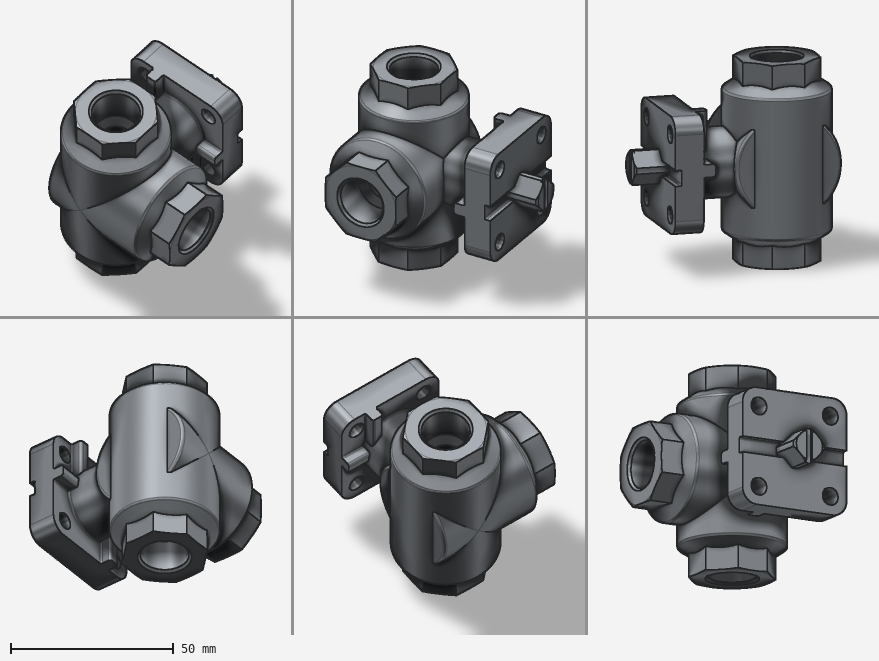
import cadquery as cq
import math


body_radius = 34.0 / 2
run_half_length = 32.25
branch_length = 32.5
branch_back = 13.0
edge_radius = 0.95
octagon_flats = 25.0
shoulder_height = 3.0
shoulder_top = 25.3
shoulder_base = shoulder_top - shoulder_height
octagon_chamfer = 0.25
bore_diameter = 10.0
port_diameter = 14.95
port_mouth_diameter = 16.65
port_depth = 11.6
port_cone_depth = 1.95

neck_radius = 22.0 / 2
neck_root_radius = 0.7

flange_width = 37.0
flange_thickness = 9.15
flange_top = 38.0
flange_bottom = flange_top - flange_thickness
flange_corner_radius = 4.95
hole_diameter = 5.5
hole_spacing = 25.4
slot_width = 5.0
slot_depth = 2.0
slot_corner_radius = 0.5

rib_width = 4.0
rib_height = 3.8
rib_root_radius = 0.5
rib_tip_radius = 0.95
rib_inner_end = 3.2
side_rib_offset = 1.75
upper_rib_offset = -7.4

overall_depth = 64.0
stem_end = overall_depth - body_radius
stem_diameter = 10.95
stem_flats = 8.95
stem_chamfer_length = 0.45
stem_chamfer_width = 0.85
notch_width = 2.0
notch_depth = 1.0


def port_arm(length):
    """Half body along +Z: cylinder, conical shoulder and octagonal end."""
    flat_radius = octagon_flats / 2
    barrel = (
        cq.Workplane("XZ")
        .polyline([
            (0, 0),
            (body_radius, 0),
            (body_radius, shoulder_base),
            (flat_radius, shoulder_top),
            (0, shoulder_top),
        ])
        .close()
        .revolve(360, (0, 0), (0, 1))
        .faces("%CYLINDER")
        .edges(">Z")
        .fillet(edge_radius)
    )

    corner_radius = flat_radius / math.cos(math.pi / 8)
    octagon = (
        cq.Workplane("XY")
        .polygon(8, 2 * corner_radius)
        .extrude(length)
        .rotate((0, 0, 0), (0, 0, 1), 22.5)
    )
    chamfered_round = (
        cq.Workplane("XY")
        .circle(corner_radius)
        .extrude(length)
        .faces(">Z")
        .chamfer(octagon_chamfer, corner_radius - flat_radius)
    )
    return barrel.union(octagon.intersect(chamfered_round))


def port_bore(length):
    """Bore along +Z: chamfered mouth, port and cone down to the inner bore."""
    mouth_chamfer = (port_mouth_diameter - port_diameter) / 2
    port_floor = length - port_depth
    return (
        cq.Workplane("XZ")
        .polyline([
            (0, 0),
            (bore_diameter / 2, 0),
            (bore_diameter / 2, port_floor - port_cone_depth),
            (port_diameter / 2, port_floor),
            (port_diameter / 2, length - mouth_chamfer),
            (port_mouth_diameter / 2, length),
            (0, length),
        ])
        .close()
        .revolve(360, (0, 0), (0, 1))
    )


def in_three_ports(make):
    """Join the +Z, -Z and +X copies of a shape made along +Z."""
    upper = make(run_half_length)
    lower = upper.rotate((0, 0, 0), (1, 0, 0), 180)
    branch = make(branch_length).rotate((0, 0, 0), (0, 1, 0), 90)
    return upper.union(lower).clean().union(branch)


def branch_back_end():
    """Stretch of the branch cylinder behind the run, rounded at its flat end."""
    return (
        cq.Workplane("YZ")
        .circle(body_radius)
        .extrude(-branch_back)
        .faces("<X")
        .edges()
        .fillet(edge_radius)
    )


def neck():
    """Turned neck along +Y, flaring into the flange."""
    fillet_start = flange_bottom - neck_root_radius
    return (
        cq.Workplane("XY")
        .lineTo(neck_radius, 0)
        .lineTo(neck_radius, fillet_start)
        .radiusArc((neck_radius + neck_root_radius, flange_bottom), neck_root_radius)
        .lineTo(0, flange_bottom)
        .close()
        .revolve(360, (0, 0), (0, 1))
    )


def flange():
    """Square plate with corner holes and a slot across its outer face along X."""
    plate = (
        cq.Workplane("XZ", origin=(0, flange_top, 0))
        .rect(flange_width, flange_width)
        .extrude(flange_thickness)
        .edges("|Y")
        .fillet(flange_corner_radius)
    )
    holes = (
        cq.Workplane("XZ", origin=(0, flange_top, 0))
        .rect(hole_spacing, hole_spacing, forConstruction=True)
        .vertices()
        .circle(hole_diameter / 2)
        .extrude(flange_thickness)
    )
    slot = (
        cq.Workplane("XY")
        .box(flange_width, 2 * slot_depth, slot_width)
        .edges("|X")
        .fillet(slot_corner_radius)
        .translate((0, flange_top, 0))
    )
    return plate.cut(holes).cut(slot)


def rib():
    """Rib on the +Z side of the flange, centred on X = 0."""
    half_width = rib_width / 2
    root = half_width + rib_root_radius
    root_y = flange_bottom - rib_root_radius
    tip_y = flange_bottom - rib_height
    return (
        cq.Workplane("XY", origin=(0, 0, rib_inner_end))
        .moveTo(-root, flange_bottom)
        .radiusArc((-half_width, root_y), rib_root_radius)
        .lineTo(-half_width, tip_y + rib_tip_radius)
        .radiusArc((-half_width + rib_tip_radius, tip_y), -rib_tip_radius)
        .lineTo(half_width - rib_tip_radius, tip_y)
        .radiusArc((half_width, tip_y + rib_tip_radius), -rib_tip_radius)
        .lineTo(half_width, root_y)
        .radiusArc((root, flange_bottom), rib_root_radius)
        .close()
        .extrude(flange_width / 2 - rib_inner_end)
    )


def ribs():
    """Two ribs and their copies turned half a turn about the neck axis."""
    upper = rib().translate((upper_rib_offset, 0, 0))
    side = rib().rotate((0, 0, 0), (0, 1, 0), -90).translate((0, 0, side_rib_offset))
    pair = upper.union(side)
    return pair.union(pair.rotate((0, 0, 0), (0, 1, 0), 180))


def stem():
    """Square stem with its corners pointing along X and Z and a notch across its end."""
    stem_base = flange_top - slot_depth
    stem_length = stem_end - stem_base
    base_plane = cq.Workplane("XZ", origin=(0, stem_end, 0))
    turned = base_plane.circle(stem_diameter / 2).extrude(stem_length)
    turned = turned.faces(">Y").chamfer(stem_chamfer_length, stem_chamfer_width)
    square = (
        base_plane
        .transformed(rotate=(0, 0, 45))
        .rect(stem_flats, stem_flats)
        .extrude(stem_length)
    )
    notch = base_plane.rect(notch_width, stem_diameter).extrude(notch_depth)
    return turned.intersect(square).cut(notch)


body = in_three_ports(port_arm).union(branch_back_end())
body = body.union(neck()).union(flange()).union(ribs()).union(stem())
result = body.cut(in_three_ports(port_bore))